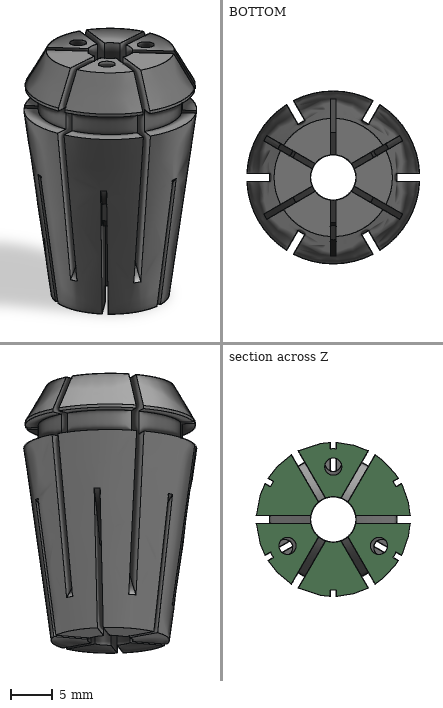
import cadquery as cq
import math

length = 31.5
bore_diameter = 5.48
base_diameter = 14.35
shoulder_diameter = 21.0
shoulder_height = 23.88
groove_diameter = 17.5
groove_top = 26.7
rim_diameter = 20.65
rim_top = 27.1
nose_diameter = 15.55

slot_count = 6
slot_pitch = 360 / slot_count
blade_radius = 25.0
top_slot_width = 0.95
top_slot_inner_radius = bore_diameter / 2
top_slot_inner_z = 13.32
top_slot_outer_z = 4.05
bottom_slot_width = 0.72
bottom_slot_inner_radius = 5.45
bottom_slot_inner_z = 10.8
bottom_slot_outer_z = 16.85

hole_count = 3
hole_diameter = 2.02
hole_circle_radius = 4.75
hole_tilt = 6.0
hole_depth = 20.0

bore_radius = bore_diameter / 2
overshoot = 1.58


def body_radius(z):
    """Radius of the tapered body at height z."""
    taper = (shoulder_diameter - base_diameter) / shoulder_height
    return (base_diameter + taper * z) / 2


def make_body():
    """Hollow collet: tapered body, nut groove, rim and conical nose."""
    return (
        cq.Workplane("XZ")
        .moveTo(bore_radius, 0)
        .lineTo(base_diameter / 2, 0)
        .lineTo(shoulder_diameter / 2, shoulder_height)
        .lineTo(groove_diameter / 2, shoulder_height)
        .lineTo(groove_diameter / 2, groove_top)
        .lineTo(rim_diameter / 2, groove_top)
        .lineTo(rim_diameter / 2, rim_top)
        .lineTo(nose_diameter / 2, length)
        .lineTo(bore_radius, length)
        .close()
        .revolve(360, (0, 0, 0), (0, 1, 0))
    )


def make_slot(width, inner_r, inner_z, outer_z, open_z):
    """Radial slot along +X, open at open_z, closed by a flat inside inner_r and a blade arc outside it."""
    outer_r = body_radius(outer_z)
    run = outer_r - inner_r
    rise = outer_z - inner_z
    chord = math.hypot(run, rise)
    sagitta = blade_radius - math.sqrt(blade_radius**2 - (chord / 2) ** 2)
    bulge_x = -abs(rise) / chord * sagitta
    bulge_z = math.copysign(run / chord * sagitta, outer_z - open_z)
    arc_middle = ((inner_r + outer_r) / 2 + bulge_x, (inner_z + outer_z) / 2 + bulge_z)
    reach = shoulder_diameter / 2 + overshoot
    return (
        cq.Workplane("XZ")
        .moveTo(0, open_z)
        .lineTo(0, inner_z)
        .lineTo(inner_r, inner_z)
        .threePointArc(arc_middle, (outer_r, outer_z))
        .lineTo(reach, outer_z)
        .lineTo(reach, open_z)
        .close()
        .extrude(width / 2, both=True)
    )


def make_hole():
    """Hole on the +X side of the nose face, leaning away from the axis as it goes down."""
    tilt = math.radians(hole_tilt)
    axis = cq.Vector(math.sin(tilt), 0, -math.cos(tilt))
    mouth = cq.Vector(hole_circle_radius, 0, length)
    start = mouth - axis * overshoot
    return cq.Workplane(
        cq.Solid.makeCylinder(hole_diameter / 2, hole_depth + overshoot, start, axis)
    )


def cut_around(part, cutter, count, first_angle):
    """Cut evenly spaced copies of the cutter around the Z axis."""
    for index in range(count):
        angle = first_angle + index * 360 / count
        part = part.cut(cutter.rotate((0, 0, 0), (0, 0, 1), angle))
    return part


top_slot = make_slot(
    top_slot_width, top_slot_inner_radius, top_slot_inner_z, top_slot_outer_z, length + overshoot
)
bottom_slot = make_slot(
    bottom_slot_width, bottom_slot_inner_radius, bottom_slot_inner_z, bottom_slot_outer_z, -overshoot
)

result = make_body()
result = cut_around(result, top_slot, slot_count, 0)
result = cut_around(result, bottom_slot, slot_count, slot_pitch / 2)
result = cut_around(result, make_hole(), hole_count, 90)